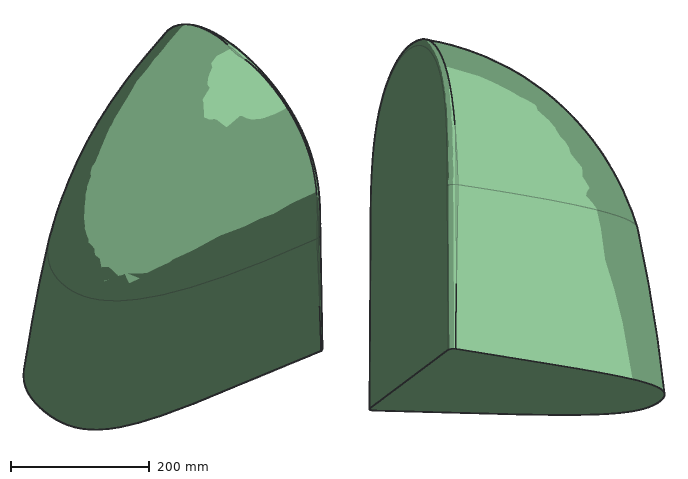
import cadquery as cq
import math

HEIGHT = 503.5
DEPTH = 383.5
WIDTH = 365.5
SPRING_HEIGHT = 247.5
SPRING_WIDTH = 356.5
SPRING_DEPTH = 344.5
RIM_RADIUS = 10.0

OVERRUN = 15.0
SIDE_ALLOWANCE = 5.5
TOP_ALLOWANCE = 1.0

NOSE_BOW = 3.5
ARCH_POWER = 3.15
NOSE_FULLNESS = 0.53
FLANK_REACH = 0.71
BASE_NOSE_REACH = 0.61
SPRING_NOSE_REACH = 0.45
BASE_TAPER = 0.51
SPRING_TAPER = 0.37

OUTLINE_STEPS = 16
LEVEL_STEPS = 16
SURFACE_TOLERANCE = 0.01
SEWING_TOLERANCE = 0.1


def blend(start, end, share):
    return start + share * (end - start)


def level_outline(half_width, depth, taper, nose_reach, z):
    """Points round one level, right back edge to nose to left, each half a cubic Bezier."""
    right = []
    for i in range(OUTLINE_STEPS + 1):
        t = i / OUTLINE_STEPS
        weights = ((1 - t) ** 3, 3 * (1 - t) ** 2 * t, 3 * (1 - t) * t**2, t**3)
        across = (1, 1 - taper * FLANK_REACH, nose_reach, 0)
        forward = (0, FLANK_REACH, 1, 1)
        x = half_width * sum(w * a for w, a in zip(weights, across))
        y = OVERRUN - depth * sum(w * f for w, f in zip(weights, forward))
        right.append(cq.Vector(x, y, z))
    left = [cq.Vector(-p.x, p.y, p.z) for p in reversed(right[:-1])]
    return right + left


def lower_outline(share):
    """Level outline of the lower body, from the base (share 0) to the spring level (share 1)."""
    half_width = blend(WIDTH, SPRING_WIDTH, share) / 2 + SIDE_ALLOWANCE
    depth = OVERRUN + blend(DEPTH, SPRING_DEPTH, share) + 4 * NOSE_BOW * share * (1 - share)
    taper = blend(BASE_TAPER, SPRING_TAPER, share)
    nose_reach = blend(BASE_NOSE_REACH, SPRING_NOSE_REACH, share)
    return level_outline(half_width, depth, taper, nose_reach, share * SPRING_HEIGHT)


def arch_point(share, half_width, top):
    """Half width and height on the back arch, from the spring level (0) to the apex (1)."""
    rise = math.sin(share * math.pi / 2)
    return half_width * math.sqrt(1 - rise**ARCH_POWER), blend(SPRING_HEIGHT, top, rise)


def dome_outline(share):
    """Level outline of the dome, from the spring level (share 0) to the apex (share 1)."""
    half_width, z = arch_point(share, SPRING_WIDTH / 2 + SIDE_ALLOWANCE, HEIGHT + TOP_ALLOWANCE)
    rise = math.sin(share * math.pi / 2)
    depth = (OVERRUN + SPRING_DEPTH) * math.sqrt((1 - rise) * (1 + NOSE_FULLNESS * rise))
    return level_outline(half_width, depth, SPRING_TAPER, SPRING_NOSE_REACH, z)


def surface(outline):
    """Smooth face through the level outlines."""
    grid = [outline(i / LEVEL_STEPS) for i in range(LEVEL_STEPS + 1)]
    return cq.Face.makeSplineApprox(grid, tol=SURFACE_TOLERANCE, minDeg=3, maxDeg=6)


def flat_face(faces, normal, corner):
    """Planar face through a corner, closed by the base line at the back and the faces' edges."""
    edges = [
        edge
        for face in faces
        for edge in face.Edges()
        if abs((edge.positionAt(0.5) - corner).dot(normal)) < SEWING_TOLERANCE
    ]
    base_line = cq.Edge.makeLine(corner, cq.Vector(-corner.x, corner.y, corner.z))
    return cq.Face.makeFromWires(cq.Wire.combine(edges + [base_line], SEWING_TOLERANCE)[0])


def make_hood():
    """Untrimmed hood with a sharp back edge."""
    skin = [surface(lower_outline), surface(dome_outline)]
    corner = lower_outline(0)[0]
    back = flat_face(skin, cq.Vector(0, 1, 0), corner)
    base = flat_face(skin, cq.Vector(0, 0, 1), corner)
    shell = cq.occ_impl.shapes.shell(skin + [back, base], tol=SEWING_TOLERANCE)
    return cq.Workplane(cq.Solid.makeSolid(shell).fix())


def make_rim_envelope():
    """Arch-shaped prism along Y with its back edge rounded."""
    right = [arch_point(i / LEVEL_STEPS, SPRING_WIDTH / 2, HEIGHT) for i in range(LEVEL_STEPS + 1)]
    left = [(-x, z) for x, z in reversed(right[:-1])]
    return (
        cq.Workplane("XZ")
        .moveTo(-WIDTH / 2, 0)
        .lineTo(WIDTH / 2, 0)
        .lineTo(SPRING_WIDTH / 2, SPRING_HEIGHT)
        .spline(right[1:] + left, includeCurrent=True)
        .close()
        .extrude(DEPTH + RIM_RADIUS)
        .faces(">Y")
        .edges("not(<Z)")
        .fillet(RIM_RADIUS)
    )


result = make_hood().intersect(make_rim_envelope()).solids()